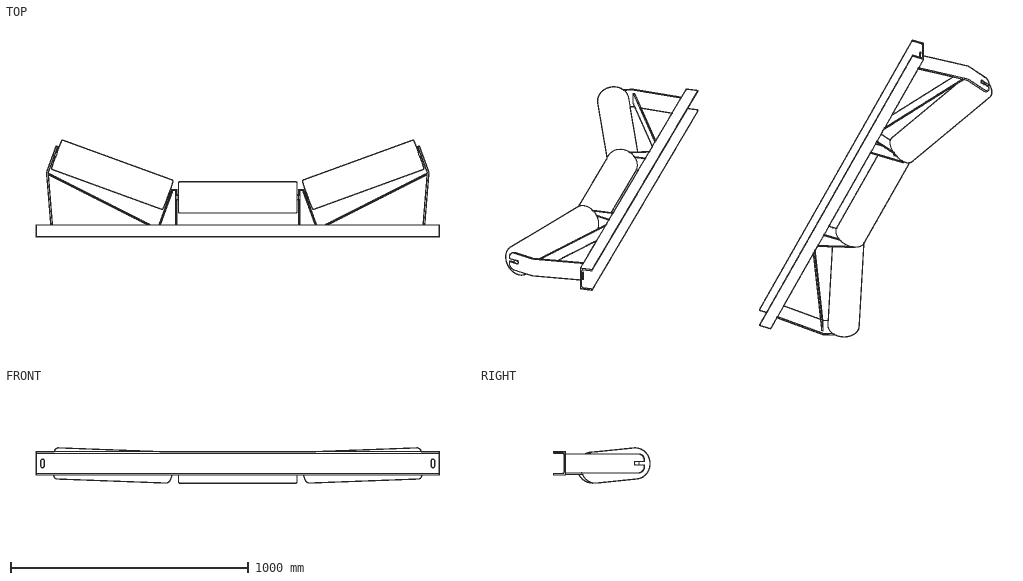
import cadquery as cq
import math

CHANNEL_LENGTH = 1700.0
CHANNEL_HEIGHT = 99.0
CHANNEL_DEPTH = 51.0
WEB_THICKNESS = 5.0
FLANGE_THICKNESS = 7.0
CHANNEL_ROOT_RADIUS = 8.0
CHANNEL_TIP_RADIUS = 3.0
MOUNT_SLOT_LENGTH = 35.0
MOUNT_SLOT_WIDTH = 14.0
MOUNT_SLOT_INSET = 27.0

ROLLER_DIAMETER = 133.0
ROLLER_LENGTH = 500.0
ROLLER_EDGE_RADIUS = 5.0
MIDDLE_ROLLER_Y = 115.0
WING_ROLLER_X = 529.0
WING_ROLLER_Y = 210.0
TROUGH_ANGLE = 20.0
TILT_ANGLE = 2.0
SHAFT_DIAMETER = 22.0
SHAFT_FLAT_WIDTH = 14.5
END_GAP = 7.0
SLOT_MARGIN = 5.0

OUTER_HEIGHT = 80.0
INNER_HEIGHT = 60.0
OUTER_THICKNESS = 8.0
INNER_THICKNESS = 6.0
OUTER_BASE_X = 789.0
OUTER_BEND_Y = 221.0
OUTER_TIP_Y = 333.0
OUTER_TIP_RADIUS = 25.0
BEND_INNER_RADIUS = 3.0
INNER_TOP_Y = 150.0

BRACE_THICKNESS = 6.0
BRACE_HEIGHT = 50.0
BRACE_FOOT_X = 380.0
BRACE_HEAD_Y = 210.0

COS_TROUGH = math.cos(math.radians(TROUGH_ANGLE))
SIN_TROUGH = math.sin(math.radians(TROUGH_ANGLE))
TILT = math.radians(TILT_ANGLE)

WING_ROLLER_Z = -ROLLER_LENGTH / 2 * math.sin(TILT)
MIDDLE_ROLLER_Z = 2 * WING_ROLLER_Z

END_FACE = ROLLER_LENGTH / 2 + END_GAP

PLATE_DIRECTION = (-SIN_TROUGH, COS_TROUGH)
LEVEL = (1, 0)

SIDES = (-1, 1)


def roller_frame(side):
    """Frame at a roller's centre: local Z is its axis, local X is the open direction of its slots.

    Side 0 is the middle roller, -1 and +1 the wing rollers on -X and +X.
    """
    if side == 0:
        return cq.Plane((0, MIDDLE_ROLLER_Y, MIDDLE_ROLLER_Z), (0, 1, 0), (1, 0, 0))
    axis = (side * COS_TROUGH * math.cos(TILT), SIN_TROUGH * math.cos(TILT), math.sin(TILT))
    slot_direction = (-side * SIN_TROUGH, COS_TROUGH, 0)
    centre = (side * WING_ROLLER_X, WING_ROLLER_Y, WING_ROLLER_Z)
    return cq.Plane(centre, slot_direction, axis)


def centred_cylinder(frame, diameter, length):
    """Cylinder along the frame's Z, centred on its origin."""
    return cq.Workplane(frame).workplane(offset=-length / 2).circle(diameter / 2).extrude(length)


def shaft_section(frame, length):
    """Round shaft with two flats, centred on the frame."""
    flats = cq.Workplane(frame).box(SHAFT_DIAMETER, SHAFT_FLAT_WIDTH, length)
    return centred_cylinder(frame, SHAFT_DIAMETER, length).intersect(flats)


def make_roller(side):
    """Drum with rounded edges and a flatted shaft that ends inside its plates' slots."""
    frame = roller_frame(side)
    drum = centred_cylinder(frame, ROLLER_DIAMETER, ROLLER_LENGTH)
    drum = drum.edges("%CIRCLE").fillet(ROLLER_EDGE_RADIUS)
    shaft_length = 2 * (END_FACE + INNER_THICKNESS)
    return drum.union(shaft_section(frame, shaft_length))


def shaft_slot(side):
    """Cutter for the open slots of a roller: the shaft section swept to the open end."""
    frame = roller_frame(side)
    length = 2 * (END_FACE + OUTER_THICKNESS + SLOT_MARGIN)
    reach = ROLLER_DIAMETER / 2
    opening = cq.Workplane(frame).center(reach / 2, 0).box(reach, SHAFT_FLAT_WIDTH, length)
    return shaft_section(frame, length).union(opening)


def make_channel():
    """U-channel with rounded roots and flange tips and an upright slot near each end."""
    channel = cq.Workplane("XY").box(CHANNEL_LENGTH, CHANNEL_DEPTH, CHANNEL_HEIGHT)
    channel = channel.translate((0, -CHANNEL_DEPTH / 2, 0))
    inner_height = CHANNEL_HEIGHT - 2 * FLANGE_THICKNESS
    hollow = cq.Workplane("XY").box(CHANNEL_LENGTH, CHANNEL_DEPTH, inner_height)
    hollow = hollow.translate((0, -CHANNEL_DEPTH / 2 - WEB_THICKNESS, 0))
    hollow = hollow.edges(">Y and |X").fillet(CHANNEL_ROOT_RADIUS)
    channel = channel.cut(hollow)
    inner_tip = inner_height / 2
    for z in (-inner_tip, inner_tip):
        tip = cq.NearestToPointSelector((0, -CHANNEL_DEPTH, z))
        channel = channel.edges(tip).fillet(CHANNEL_TIP_RADIUS)
    slot_x = CHANNEL_LENGTH / 2 - MOUNT_SLOT_INSET
    slots = (
        cq.Workplane("XZ")
        .pushPoints([(-slot_x, 0), (slot_x, 0)])
        .slot2D(MOUNT_SLOT_LENGTH, MOUNT_SLOT_WIDTH, 90)
        .extrude(CHANNEL_DEPTH, both=True)
    )
    return channel.cut(slots)


def unit_vector(start, end):
    """Direction from one point in the XY plane to another."""
    length = math.dist(start, end)
    return ((end[0] - start[0]) / length, (end[1] - start[1]) / length)


def crossing(start_1, direction_1, start_2, direction_2):
    """Point where two lines in the XY plane cross."""
    determinant = direction_1[0] * direction_2[1] - direction_1[1] * direction_2[0]
    dx = start_2[0] - start_1[0]
    dy = start_2[1] - start_1[1]
    distance = (dx * direction_2[1] - dy * direction_2[0]) / determinant
    return (start_1[0] + distance * direction_1[0], start_1[1] + distance * direction_1[1])


def point_on_axis(offset):
    """Point, for the +X side, where a plane square to the wing roller meets its axis, seen along Z.

    The offset is measured along the axis from the roller's centre.
    """
    return (WING_ROLLER_X + offset * COS_TROUGH, WING_ROLLER_Y + offset * SIN_TROUGH)


def extrude_plate(points, side, height, middle_z=0):
    """Plate of the given outline, listed for the +X side, centred on a Z level."""
    outline = [(side * x, y) for x, y in points]
    return cq.Workplane("XY", origin=(0, 0, middle_z - height / 2)).polyline(outline).close().extrude(height)


def at_height(offset, y):
    """Point at height Y on the plane that is square to the wing roller at an offset along its axis."""
    return crossing(point_on_axis(offset), PLATE_DIRECTION, (0, y), LEVEL)


OUTER_BEND = at_height(END_FACE + OUTER_THICKNESS, OUTER_BEND_Y)
OUTER_BASE = (OUTER_BASE_X, 0)
LEG_DIRECTION = unit_vector(OUTER_BASE, OUTER_BEND)
INSIDE_BASE = (OUTER_BASE_X - OUTER_THICKNESS / LEG_DIRECTION[1], 0)


def make_outer_bracket(side):
    """Upright leg bent square to the wing roller, with a rounded tip and an open shaft slot."""
    inside_bend = crossing(INSIDE_BASE, LEG_DIRECTION, point_on_axis(END_FACE), PLATE_DIRECTION)
    tip_outside = at_height(END_FACE + OUTER_THICKNESS, OUTER_TIP_Y)
    tip_inside = (
        tip_outside[0] - OUTER_THICKNESS * COS_TROUGH,
        tip_outside[1] - OUTER_THICKNESS * SIN_TROUGH,
    )
    points = [OUTER_BASE, OUTER_BEND, tip_outside, tip_inside, inside_bend, INSIDE_BASE]
    bracket = extrude_plate(points, side, OUTER_HEIGHT)
    bends = ((inside_bend, BEND_INNER_RADIUS), (OUTER_BEND, BEND_INNER_RADIUS + OUTER_THICKNESS))
    for (x, y), radius in bends:
        bracket = bracket.edges(cq.NearestToPointSelector((side * x, y, 0))).fillet(radius)
    tip_x = side * (tip_outside[0] + tip_inside[0]) / 2
    tip_y = (tip_outside[1] + tip_inside[1]) / 2
    for z in (-OUTER_HEIGHT / 2, OUTER_HEIGHT / 2):
        corner = cq.NearestToPointSelector((tip_x, tip_y, z))
        bracket = bracket.edges(corner).fillet(OUTER_TIP_RADIUS)
    return bracket.cut(shaft_slot(side))


def make_inner_bracket(side):
    """Bent plate between two rollers: one leg square to each, joined at the top."""
    far_face = END_FACE + INNER_THICKNESS
    under_top = INNER_TOP_Y - INNER_THICKNESS
    points = [
        at_height(-END_FACE, 0),
        at_height(-END_FACE, INNER_TOP_Y),
        (END_FACE, INNER_TOP_Y),
        (END_FACE, 0),
        (far_face, 0),
        (far_face, under_top),
        at_height(-far_face, under_top),
        at_height(-far_face, 0),
    ]
    bracket = extrude_plate(points, side, INNER_HEIGHT, MIDDLE_ROLLER_Z)
    return bracket.cut(shaft_slot(side)).cut(shaft_slot(0))


def make_brace(side):
    """Flat strut from the inside of the outer bracket's leg down to the channel."""
    head = crossing(INSIDE_BASE, LEG_DIRECTION, (0, BRACE_HEAD_Y), LEVEL)
    foot = (BRACE_FOOT_X, 0)
    direction = unit_vector(foot, head)
    upper_foot = (BRACE_FOOT_X - BRACE_THICKNESS / direction[1], 0)
    upper_head = crossing(upper_foot, direction, INSIDE_BASE, LEG_DIRECTION)
    return extrude_plate([foot, head, upper_head, upper_foot], side, BRACE_HEIGHT)


channel = make_channel()
rollers = [make_roller(side) for side in (-1, 0, 1)]
outer_brackets = [make_outer_bracket(side) for side in SIDES]
inner_brackets = [make_inner_bracket(side) for side in SIDES]
braces = [make_brace(side) for side in SIDES]

bodies = [channel, *rollers, *outer_brackets, *inner_brackets, *braces]
result = cq.Compound.makeCompound([body.val() for body in bodies])